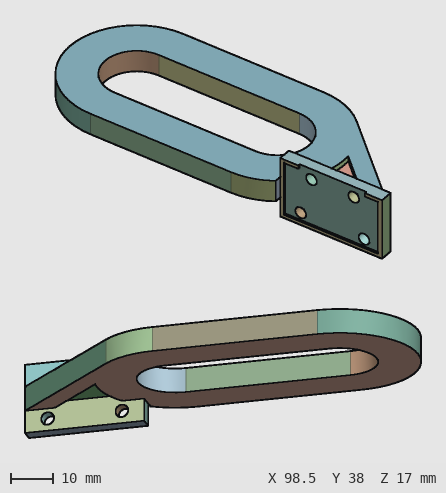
import cadquery as cq
import math

ring_radius = 19.0
slot_radius = 9.0
ring_straight = 40.0
ring_thickness = 6.0

part_length = 98.5
plate_width = 29.0
plate_height = 17.0
plate_thickness = 3.5
plate_back_y = -10.4

recess_depth = 0.6
border = 1.0
right_border = 1.2
opening_start = 5.1
opening_end = 24.0

hole_diameter = 3.1
hole_edge_distance = 3.1
upper_hole_offsets = (8.5, 20.5)
lower_hole_offsets = (5.4, 23.4)

rib_width = 4.9
web_thickness = 3.1

ring_center_x = ring_radius + ring_straight / 2
ring_end_x = ring_radius + ring_straight
plate_left_x = part_length - plate_width
plate_front_y = plate_back_y - plate_thickness
plate_top_z = plate_height / 2

corner_dx = part_length - ring_end_x
corner_distance = math.hypot(corner_dx, plate_back_y)
tangent_angle = math.atan2(plate_back_y, corner_dx) + math.acos(ring_radius / corner_distance)
tangent_x = ring_end_x + ring_radius * math.cos(tangent_angle)
tangent_y = ring_radius * math.sin(tangent_angle)
rib_shift_x = rib_width / math.cos(tangent_angle)


def oval(radius, thickness):
    """Oval block with the ring's straight length, centered on Z = 0."""
    return (
        cq.Workplane("XY")
        .center(ring_center_x, 0)
        .slot2D(ring_straight + 2 * radius, 2 * radius)
        .extrude(thickness / 2, both=True)
    )


def gusset(shift_x, thickness):
    """Block between ring and plate, its slanted edge moved left by shift_x."""
    return (
        cq.Workplane("XY")
        .polyline([
            (ring_end_x, 0),
            (tangent_x - shift_x, tangent_y),
            (part_length - shift_x, plate_back_y),
            (plate_left_x, plate_back_y),
        ])
        .close()
        .extrude(thickness / 2, both=True)
    )


def plate_block(left, right, bottom, top, front_y, depth):
    """Box on the plate: X from its left edge, Z from its bottom, depth toward +Y."""
    return cq.Workplane("XY").box(right - left, depth, top - bottom, centered=False).translate(
        (plate_left_x + left, front_y, bottom - plate_top_z)
    )


ring_body = oval(ring_radius, ring_thickness)
front_clearance = plate_block(
    0, plate_width, 0, plate_height, -ring_radius, plate_front_y + ring_radius
)
ring_body = ring_body.cut(front_clearance)

web_area = gusset(rib_shift_x, ring_thickness)
web = gusset(rib_shift_x, web_thickness)
rib = gusset(0, ring_thickness).cut(web_area)

plate = plate_block(0, plate_width, 0, plate_height, plate_front_y, plate_thickness)
recess = plate_block(
    border, plate_width - right_border, border, plate_height - border, plate_front_y, recess_depth
)
opening = plate_block(
    opening_start, opening_end, border, plate_height, plate_front_y, recess_depth
)
hole_z = plate_top_z - hole_edge_distance
hole_points = [(plate_left_x + x, hole_z) for x in upper_hole_offsets]
hole_points += [(plate_left_x + x, -hole_z) for x in lower_hole_offsets]
holes = (
    cq.Workplane("XZ", origin=(0, plate_back_y, 0))
    .pushPoints(hole_points)
    .circle(hole_diameter / 2)
    .extrude(plate_thickness)
)

body = ring_body.union(rib).union(web).union(plate)
result = body.cut(oval(slot_radius, ring_thickness)).cut(recess).cut(opening).cut(holes)